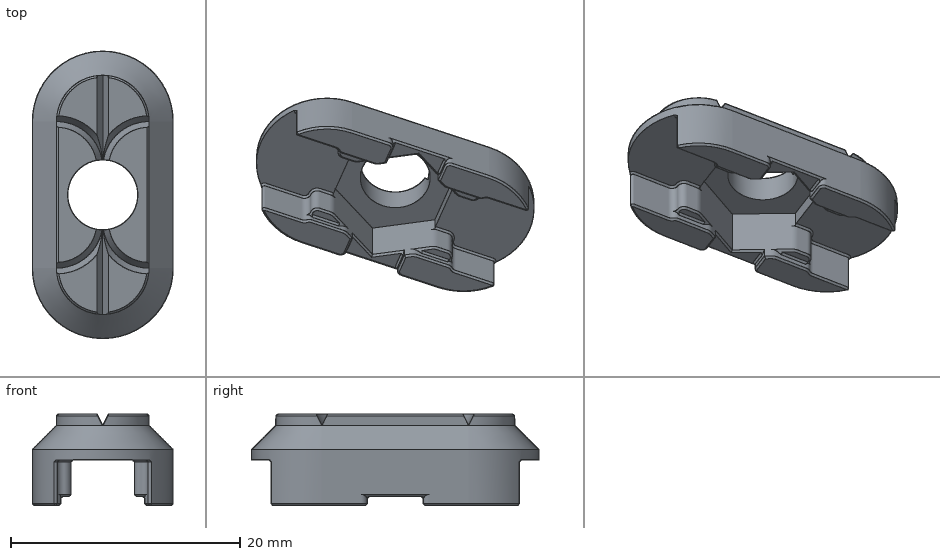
import cadquery as cq
import math

length = 25.1
width = 12.3
height = 8.0
half_width = width / 2
end_center_y = (length - width) / 2

ceiling_z = 4.0
bevel_start_z = 4.9
bevel = 2.1
plate_z = bevel_start_z + bevel
plate_half_width = half_width - bevel
edge_chamfer = 0.18

hole_diameter = 6.1
groove_width = 1.0
groove_depth = height - plate_z

channel_half_width = 3.97
leg_end_y = 10.85
leg_end_radius = 0.2
overshoot = 1.25

hex_apothem = 4.77
hex_round = 1.0
hex_top_z = 5.37
hex_flat_angle = 30.0
hex_corner_x = hex_apothem / math.cos(math.radians(hex_flat_angle))

pad_radius = 0.6
pad_face_x = 2.75
pad_root_x = channel_half_width - pad_radius
pad_root_y = 7.2

gap_height = 0.8
gap_half_length = 2.43
foot_radius = 0.5
foot_pad_face_x = 3.66


def stadium(total_width, total_length, bottom, top):
    """Upright stadium prism between two levels."""
    return (
        cq.Workplane("XY", origin=(0, 0, bottom))
        .slot2D(total_length, total_width, 90)
        .extrude(top - bottom)
    )


def mirrored_four_ways(quarter):
    """Repeat a solid across the XZ and YZ planes."""
    half = quarter.union(quarter.mirror("YZ"))
    return half.union(half.mirror("XZ"))


def arc_point(center_x, center_y, radius, degrees):
    """Point on a circle at the given angle."""
    angle = math.radians(degrees)
    return (center_x + radius * math.cos(angle), center_y + radius * math.sin(angle))


def make_cap():
    """Bevelled cap with the raised, chamfered plate on top."""
    base = stadium(width, length, ceiling_z, plate_z)
    base = base.faces(">Z").edges().chamfer(bevel)
    plate = stadium(2 * plate_half_width, length - 2 * bevel, plate_z, height)
    plate = plate.faces(">Z").edges().chamfer(edge_chamfer)
    return base.union(plate)


def make_channel(face_x, top):
    """Space between and beyond the legs, for pads that stand in to face_x."""
    side_x = half_width + overshoot
    end_y = length / 2 + overshoot
    end_round_x = channel_half_width + leg_end_radius
    end_round_y = leg_end_y - leg_end_radius

    hex_round_x = face_x + hex_round
    flat_direction = math.radians(hex_flat_angle)
    hex_round_reach = hex_apothem + hex_round - hex_round_x * math.cos(flat_direction)
    hex_round_y = hex_round_reach / math.sin(flat_direction)

    nose_x = face_x + pad_radius
    nose_rise = math.sqrt((2 * pad_radius) ** 2 - (nose_x - pad_root_x) ** 2)
    nose_y = pad_root_y - nose_rise
    touch_angle = math.degrees(math.atan2(nose_rise, pad_root_x - nose_x))

    quarter = (
        cq.Workplane("XY", origin=(0, 0, -overshoot))
        .lineTo(hex_corner_x, 0)
        .lineTo(*arc_point(hex_round_x, hex_round_y, hex_round, 180 + hex_flat_angle))
        .threePointArc(
            arc_point(hex_round_x, hex_round_y, hex_round, 180 + hex_flat_angle / 2),
            (face_x, hex_round_y),
        )
        .lineTo(face_x, nose_y)
        .threePointArc(
            arc_point(nose_x, nose_y, pad_radius, (180 + touch_angle) / 2),
            arc_point(nose_x, nose_y, pad_radius, touch_angle),
        )
        .threePointArc(
            arc_point(pad_root_x, pad_root_y, pad_radius, (touch_angle - 180) / 2),
            (channel_half_width, pad_root_y),
        )
        .lineTo(channel_half_width, end_round_y)
        .threePointArc(
            arc_point(end_round_x, end_round_y, leg_end_radius, 135),
            (end_round_x, leg_end_y),
        )
        .lineTo(side_x, leg_end_y)
        .lineTo(side_x, end_y)
        .lineTo(0, end_y)
        .close()
        .extrude(top + overshoot)
    )
    return mirrored_four_ways(quarter)


def make_padded_legs():
    """Upper part of the legs: chamfered below and flared where they join the cap."""
    channel = make_channel(pad_face_x, ceiling_z).faces(">Z").edges().chamfer(edge_chamfer)
    legs = stadium(width, length, gap_height, ceiling_z).cut(channel)
    return legs.faces("<Z").edges().chamfer(edge_chamfer)


def make_feet(top):
    """Four feet with rounded outer corners at the gap."""
    gap = cq.Workplane("XY").box(2 * width, 2 * gap_half_length, 2 * height)
    feet = stadium(width, length, 0, top).cut(gap)
    beside_gap = cq.selectors.BoxSelector(
        (-width, -gap_half_length - foot_radius, -height),
        (width, gap_half_length + foot_radius, height),
    )
    feet = feet.edges("|Z").edges(beside_gap).fillet(foot_radius)
    return feet.cut(make_channel(foot_pad_face_x, top))


def make_legs():
    """Two padded legs standing on four feet, which flare where they meet the pads."""
    upper = make_padded_legs()
    feet = make_feet(gap_height + edge_chamfer).faces("<Z").edges().chamfer(edge_chamfer)
    flare = (
        make_feet(gap_height - edge_chamfer)
        .faces(">Z")
        .wires()
        .toPending()
        .extrude(edge_chamfer, combine=False, taper=-45)
    )
    footprint = upper.faces("<Z").wires().toPending().extrude(-edge_chamfer, combine=False, taper=45)
    return upper.union(feet).union(flare.intersect(footprint))


def v_section(workplane, center):
    """V groove section on a plane whose second axis is Z; the V widens above the plate."""
    top_z = height + overshoot
    top_half_width = groove_width / 2 * (groove_depth + overshoot) / groove_depth
    return workplane.polyline(
        [
            (center, height - groove_depth),
            (center + top_half_width, top_z),
            (center - top_half_width, top_z),
        ]
    ).close()


def make_grooves():
    """Straight grooves along Y, and quarter-turn grooves from them to the long sides."""
    turn_radius = plate_half_width
    turn_center_y = end_center_y - turn_radius
    straight = v_section(cq.Workplane("XZ", origin=(0, turn_center_y, 0)), 0).extrude(-length)
    turn = v_section(cq.Workplane("XZ", origin=(turn_radius, turn_center_y, 0)), -turn_radius)
    turn = turn.revolve(90, (0, 0, 0), (0, -1, 0))
    return mirrored_four_ways(straight.union(turn))


hole = cq.Workplane("XY").circle(hole_diameter / 2).extrude(height)
hex_pocket = cq.Workplane("XY").polygon(6, 2 * hex_corner_x).extrude(hex_top_z)
result = make_cap().union(make_legs()).cut(make_grooves()).cut(hole).cut(hex_pocket)